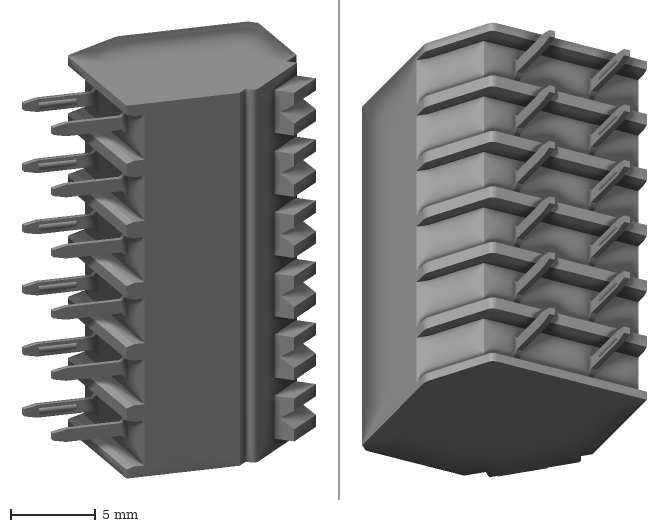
import cadquery as cq


height = 23.25
width = 12.7
depth = 12.83
corner_chamfer = 0.49
back_bevel = 5.67
slant_x = 2.45
slant_y = 4.05
slant_front_radius = 0.5
slant_side_radius = 0.93

pole_count = 6
pole_pitch = 3.81
first_pole_z = (height - (pole_count - 1) * pole_pitch) / 2
pole_levels = [first_pole_z + i * pole_pitch for i in range(pole_count)]

recess_depth = 1.15
rib_thickness = 1.02
recess_height = pole_pitch - rib_thickness
rib_bevel_height = 0.15
rib_bevel_width = 0.46

strip_start = 1.35
strip_length = 5.84
strip_height = 0.65
strip_radius = 0.33

button_start = 1.49
button_length = 3.07
button_height = 1.3
button_width = 2.67
groove_width = 1.16
groove_depth = 0.93

pin_thickness = 0.37
pin_width = 0.8
pin_tip_width = 0.45
pin_root_width = 1.53
pin_flare_length = 0.37
pin_embed = 0.37
pin_tip_y = -3.55
pin_taper_length = 0.84
left_pin_x = 4.63
right_pin_x = 9.58

bead_height = 0.1
bead_width = 0.37
bead_start_y = -0.28
bead_end_y = -2.65


def make_core():
    """Housing with the front and the slanted corner set back by the recess depth."""
    return (
        cq.Workplane("XY")
        .moveTo(slant_x, recess_depth)
        .lineTo(width, recess_depth)
        .lineTo(width, depth - back_bevel)
        .lineTo(width - back_bevel, depth)
        .lineTo(corner_chamfer, depth)
        .lineTo(0, depth - corner_chamfer)
        .lineTo(0, slant_y + recess_depth)
        .close()
        .extrude(height)
    )


def make_rib(thickness):
    """Full-depth rib with its top face at Z = 0 and a bevel around that face."""
    right = width + 2 * rib_bevel_width
    back = depth - back_bevel
    rib = (
        cq.Workplane("XY")
        .polyline([(slant_x, 0), (right, 0), (right, back), (0, back), (0, slant_y)])
        .close()
        .extrude(-thickness)
    )
    middle = -thickness / 2
    rib = rib.edges(cq.NearestToPointSelector((slant_x, 0, middle))).fillet(slant_front_radius)
    rib = rib.edges(cq.NearestToPointSelector((0, slant_y, middle))).fillet(slant_side_radius)
    rib = rib.faces(">Z").chamfer(rib_bevel_width, rib_bevel_height)
    trim = cq.Workplane("XY").box(width, back, thickness, centered=False)
    return rib.intersect(trim.translate((0, 0, -thickness)))


def on_bevel(part):
    """Place a part whose X runs along the back bevel and whose Y points out of it."""
    return part.rotate((0, 0, 0), (0, 0, 1), -45).translate((width - back_bevel, depth, 0))


def make_strip():
    strip = (
        cq.Workplane("XY")
        .box(strip_length, 2 * strip_height, height, centered=(False, True, False))
        .edges(">X and >Y")
        .fillet(strip_radius)
    )
    return on_bevel(strip.translate((strip_start, 0, 0)))


def make_button(z):
    """Push button with a V groove along the middle of its outer face."""
    top = strip_height + button_height
    half_width = button_width / 2
    half_groove = groove_width / 2
    profile = [
        (0, -half_width),
        (top, -half_width),
        (top, -half_groove),
        (top - groove_depth, 0),
        (top, half_groove),
        (top, half_width),
        (0, half_width),
    ]
    button = cq.Workplane("YZ").polyline(profile).close().extrude(button_length)
    return on_bevel(button.translate((button_start, 0, z)))


def make_pin(x, z, bead_side):
    """Flat pin with a flared root, a tapered tip and a bead on its +X (1) or -X (-1) side."""
    half_width = pin_width / 2
    half_root = pin_root_width / 2
    half_tip = pin_tip_width / 2
    flare_end_y = recess_depth - pin_flare_length
    taper_start_y = pin_tip_y + pin_taper_length
    root_y = recess_depth + pin_embed
    upper_side = [
        (root_y, half_root),
        (recess_depth, half_root),
        (flare_end_y, half_width),
        (taper_start_y, half_width),
        (pin_tip_y, half_tip),
    ]
    lower_side = [(y, -side_z) for y, side_z in reversed(upper_side)]
    blade = (
        cq.Workplane("YZ")
        .polyline(upper_side + lower_side)
        .close()
        .extrude(pin_thickness / 2, both=True)
    )
    face_x = bead_side * pin_thickness / 2
    bead = (
        cq.Workplane("XZ", origin=(0, bead_start_y, 0))
        .moveTo(0, -bead_width / 2)
        .lineTo(face_x, -bead_width / 2)
        .threePointArc((face_x + bead_side * bead_height, 0), (face_x, bead_width / 2))
        .lineTo(0, bead_width / 2)
        .close()
        .extrude(bead_start_y - bead_end_y)
    )
    return blade.union(bead).translate((x, 0, z))


result = make_core().union(make_strip())

inner_half_rib = make_rib(rib_thickness / 2)
end_rib = make_rib(first_pole_z - recess_height / 2)
for level in pole_levels:
    lower_rib = end_rib if level == pole_levels[0] else inner_half_rib
    upper_rib = end_rib if level == pole_levels[-1] else inner_half_rib
    result = result.union(lower_rib.translate((0, 0, level - recess_height / 2)))
    result = result.union(upper_rib.mirror("XY").translate((0, 0, level + recess_height / 2)))

for level in pole_levels:
    result = result.union(make_button(level))
    result = result.union(make_pin(left_pin_x, level, 1))
    result = result.union(make_pin(right_pin_x, level, -1))